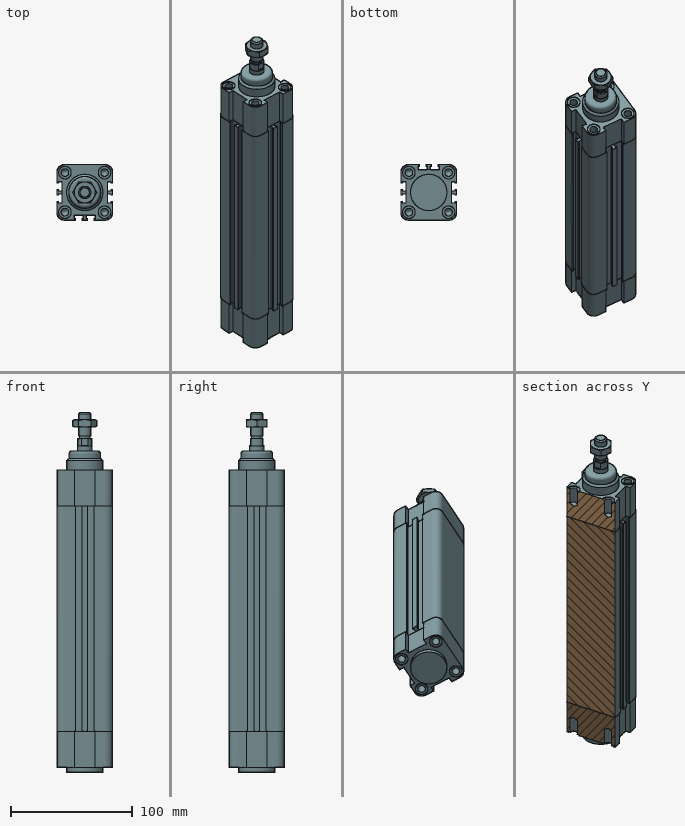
import cadquery as cq
import math

TOTAL_LENGTH = 296.0
BARREL_WIDTH = 46.0
BARREL_CORNER_RADIUS = 6.2
CAP_WIDTH = 45.5
CAP_CORNER_RADIUS = 6.5
SPIGOT_HEIGHT = 4.0
CAP_HEIGHT = 29.5
BODY_TOP = 248.5

REAR_CAP_TOP = SPIGOT_HEIGHT + CAP_HEIGHT
FRONT_CAP_BOTTOM = BODY_TOP - CAP_HEIGHT

SLOT_WIDTH = 17.2
SLOT_DEPTH = 4.0
SLOT_MOUTH_WIDTH = 15.0
LIP_THICKNESS = 1.5
RIB_HEAD_WIDTH = 4.5
RIB_NECK_WIDTH = 2.7
SLOT_ANGLES = (0, 90, -90)

HOLE_SPACING = 32.5
HOLE_DIAMETER = 6.2
HOLE_DEPTH = 14.8
DRILL_POINT_ANGLE = 118.0
COUNTERBORE_DIAMETER = 10.5
COUNTERBORE_DEPTH = 0.5

COLLAR_DIAMETER = 30.0
COLLAR_HEIGHT = 9.5
COLLAR_CHAMFER = 1.8
NOSE_DIAMETER = 26.0
NOSE_TOP = 264.3
NOSE_FILLET = 2.5

ROD_DIAMETER = 12.0
SHANK_TOP = 268.2
FLATS_BOTTOM = 268.8
FLATS_TOP = 274.5
FLATS_DIAMETER = 11.5
FLATS_WIDTH = 10.0
NECK_DIAMETER = 9.0
THREAD_BOTTOM = 276.5
THREAD_DIAMETER = 10.0
THREAD_CHAMFER = 1.2

NUT_BOTTOM = 284.0
NUT_SIDES = 6
NUT_HEIGHT = 6.2
NUT_ACROSS_FLATS = 17.2
NUT_CHAMFER_ANGLE = 30.0


def cylinder(diameter, bottom, top):
    return cq.Workplane("XY").workplane(offset=bottom).circle(diameter / 2).extrude(top - bottom)


def square_block(width, corner_radius, bottom, top):
    block = cq.Workplane("XY").workplane(offset=bottom).rect(width, width).extrude(top - bottom)
    return block.edges("|Z").fillet(corner_radius)


def side_bar(width, outer_y, inner_y, bottom, top):
    """Upright bar centred on the YZ plane, reaching from outer_y to inner_y."""
    return (
        cq.Workplane("XY")
        .workplane(offset=bottom)
        .center(0, (outer_y + inner_y) / 2)
        .rect(width, inner_y - outer_y)
        .extrude(top - bottom)
    )


def cut_slots(block, slot):
    for angle in SLOT_ANGLES:
        block = block.cut(slot.rotate((0, 0, 0), (0, 0, 1), angle))
    return block


def mounting_hole():
    """Counterbored blind hole with a drill point, going down from the front cap face."""
    radius = HOLE_DIAMETER / 2
    point_depth = radius / math.tan(math.radians(DRILL_POINT_ANGLE / 2))
    return (
        cq.Workplane("XZ")
        .polyline([
            (0, BODY_TOP),
            (COUNTERBORE_DIAMETER / 2, BODY_TOP),
            (COUNTERBORE_DIAMETER / 2, BODY_TOP - COUNTERBORE_DEPTH),
            (radius, BODY_TOP - COUNTERBORE_DEPTH),
            (radius, BODY_TOP - HOLE_DEPTH),
            (0, BODY_TOP - HOLE_DEPTH - point_depth),
        ])
        .close()
        .revolve(360, (0, 0), (0, 1))
    )


def cap_block():
    """Slotted block with four corner holes, placed as the front cap."""
    span = (FRONT_CAP_BOTTOM, BODY_TOP)
    face_y = -CAP_WIDTH / 2
    slot = side_bar(SLOT_WIDTH, face_y, face_y + SLOT_DEPTH, *span)
    block = cut_slots(square_block(CAP_WIDTH, CAP_CORNER_RADIUS, *span), slot)
    hole = mounting_hole()
    for x in (-HOLE_SPACING / 2, HOLE_SPACING / 2):
        for y in (-HOLE_SPACING / 2, HOLE_SPACING / 2):
            block = block.cut(hole.translate((x, y, 0)))
    return block


def make_front_cap():
    collar = cylinder(COLLAR_DIAMETER, BODY_TOP, BODY_TOP + COLLAR_HEIGHT)
    collar = collar.faces(">Z").chamfer(COLLAR_CHAMFER)
    nose = cylinder(NOSE_DIAMETER, BODY_TOP, NOSE_TOP).faces(">Z").edges().fillet(NOSE_FILLET)
    rod_bore = cylinder(ROD_DIAMETER, FRONT_CAP_BOTTOM, NOSE_TOP)
    return cap_block().union(collar).union(nose).cut(rod_bore)


def make_rear_cap():
    middle = (SPIGOT_HEIGHT + BODY_TOP) / 2
    block = cap_block().mirror("XY", (0, 0, middle))
    return block.union(cylinder(COLLAR_DIAMETER, 0, REAR_CAP_TOP))


def make_barrel():
    span = (REAR_CAP_TOP, FRONT_CAP_BOTTOM)
    face_y = -BARREL_WIDTH / 2
    lip_y = face_y + LIP_THICKNESS
    floor_y = face_y + SLOT_DEPTH
    mouth = side_bar(SLOT_MOUTH_WIDTH, face_y, lip_y, *span)
    undercut = side_bar(SLOT_WIDTH, lip_y, floor_y, *span)
    rib_head = side_bar(RIB_HEAD_WIDTH, face_y, lip_y, *span)
    rib_neck = side_bar(RIB_NECK_WIDTH, lip_y, floor_y, *span)
    slot = mouth.union(undercut).cut(rib_head).cut(rib_neck)
    return cut_slots(square_block(BARREL_WIDTH, BARREL_CORNER_RADIUS, *span), slot)


def make_rod():
    shank = cylinder(ROD_DIAMETER, FRONT_CAP_BOTTOM, SHANK_TOP)
    seat = cylinder(FLATS_DIAMETER, SHANK_TOP, FLATS_BOTTOM)
    between_flats = (
        cq.Workplane("XY")
        .workplane(offset=FLATS_BOTTOM)
        .rect(FLATS_DIAMETER, FLATS_WIDTH)
        .extrude(FLATS_TOP - FLATS_BOTTOM)
    )
    flats = cylinder(FLATS_DIAMETER, FLATS_BOTTOM, FLATS_TOP).intersect(between_flats)
    neck = cylinder(NECK_DIAMETER, FLATS_TOP, THREAD_BOTTOM)
    thread = cylinder(THREAD_DIAMETER, THREAD_BOTTOM, TOTAL_LENGTH).faces(">Z").chamfer(THREAD_CHAMFER)
    return shank.union(seat).union(flats).union(neck).union(thread)


def make_nut():
    across_corners = NUT_ACROSS_FLATS / math.cos(math.pi / NUT_SIDES)
    hexagon = (
        cq.Workplane("XY")
        .workplane(offset=NUT_BOTTOM)
        .polygon(NUT_SIDES, across_corners)
        .extrude(NUT_HEIGHT)
    )
    corner_overhang = (across_corners - NUT_ACROSS_FLATS) / 2
    chamfer_drop = corner_overhang * math.tan(math.radians(NUT_CHAMFER_ANGLE))
    nut_top = NUT_BOTTOM + NUT_HEIGHT
    envelope = cylinder(across_corners, NUT_BOTTOM, nut_top)
    envelope = envelope.faces("<Z or >Z").edges().chamfer(chamfer_drop, corner_overhang)
    return hexagon.intersect(envelope).cut(cylinder(THREAD_DIAMETER, NUT_BOTTOM, nut_top))


front_cap = make_front_cap()
barrel = make_barrel()
rear_cap = make_rear_cap()
rod = make_rod()
nut = make_nut()

result = cq.Compound.makeCompound([
    front_cap.solids().val(),
    barrel.solids().val(),
    rear_cap.solids().val(),
    rod.solids().val(),
    nut.solids().val(),
])